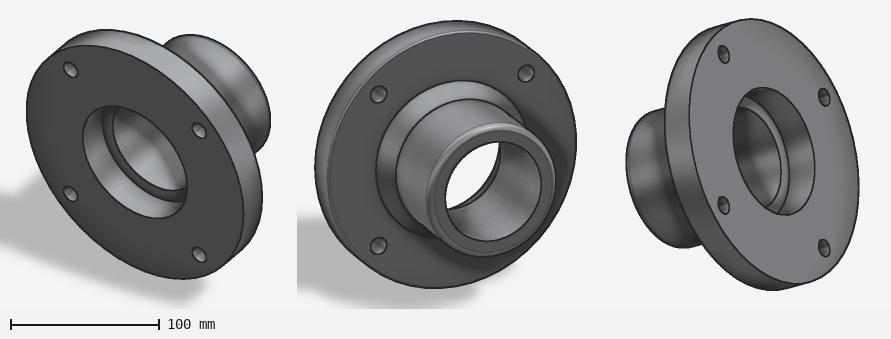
import cadquery as cq

flange_diameter = 182.2
flange_thickness = 22.0
flange_edge_fillet = 1.5

hub_diameter = 94.7
hub_end = 91.8
hub_end_fillet = 4.5
cone_foot_diameter = 111.9
cone_end = 36.5

bore_diameter = 70.1
recess_diameter = 87.6
recess_depth = 22.0

bolt_hole_diameter = 11.8
bolt_hole_spacing = 107.9


def cylinder(diameter, start, end):
    """Solid cylinder on the Y axis between two Y positions."""
    plane = cq.Workplane("XZ", origin=(0, start, 0))
    return plane.circle(diameter / 2).extrude(start - end)


def make_flange():
    disc = cylinder(flange_diameter, 0, flange_thickness)
    return disc.faces(">Y").edges().fillet(flange_edge_fillet)


def make_hub():
    barrel = cylinder(hub_diameter, 0, hub_end)
    return barrel.faces(">Y").edges().fillet(hub_end_fillet)


def make_cone():
    profile = [
        (0, flange_thickness),
        (cone_foot_diameter / 2, flange_thickness),
        (hub_diameter / 2, cone_end),
        (0, cone_end),
    ]
    return cq.Workplane("XY").polyline(profile).close().revolve(360, (0, 0, 0), (0, 1, 0))


def make_bolt_holes():
    plane = cq.Workplane("XZ").rect(bolt_hole_spacing, bolt_hole_spacing, forConstruction=True)
    return plane.vertices().circle(bolt_hole_diameter / 2).extrude(-flange_thickness)


body = make_flange().union(make_hub()).union(make_cone())
bore = cylinder(bore_diameter, 0, hub_end)
recess = cylinder(recess_diameter, 0, recess_depth)
result = body.cut(bore).cut(recess).cut(make_bolt_holes())